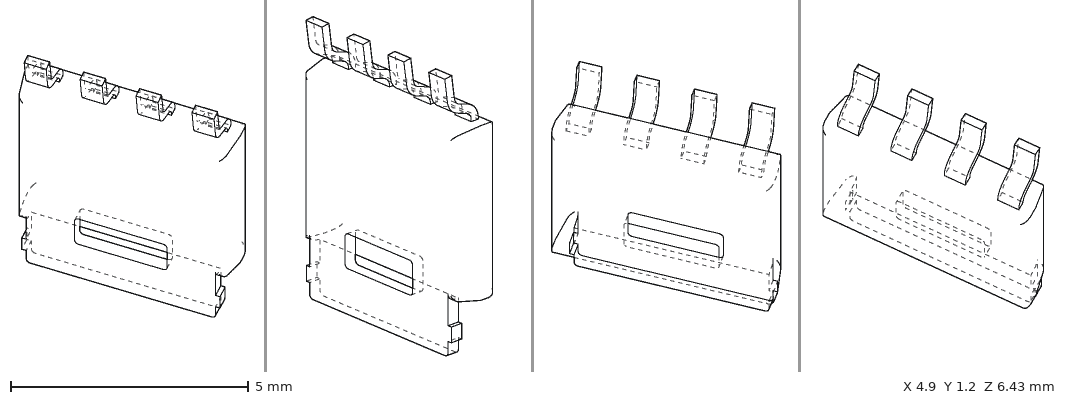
import cadquery as cq
import math


body_width = 4.9
body_height = 4.01
body_depth = 1.1
back_draft_depth = 0.21
parting_depth = 0.44
front_draft_depth = body_depth - parting_depth
draft_angle = 10.0
body_fillet = 0.15

pad_thickness = 0.3
pad_width = 4.3
pad_neck_width = 3.2
pad_overhang = 1.2
pad_top = 3.0
pad_step = 0.26
pad_radius = 0.1
tab_span = 4.5
tab_height = 0.36
tab_end_distance = 0.36
tab_bottom = tab_end_distance - pad_overhang

window_width = 2.1
window_top = 0.65
window_bottom = -0.15
window_radius = 0.1

lead_count = 4
lead_pitch = 1.27
lead_width = 0.5
lead_thickness = 0.203
lead_rise = 1.22
lead_standoff = 0.1
lead_embed = 0.2
lead_root_length = 0.04
bend_radius = 0.3
shank_angle = math.radians(17)
foot_angle = math.radians(8)


def make_body():
    parting_plane = cq.Workplane("XZ", origin=(0, front_draft_depth, body_height / 2))
    middle = parting_plane.rect(body_width, body_height).extrude(-(parting_depth - back_draft_depth))
    front = parting_plane.rect(body_width, body_height).extrude(front_draft_depth, taper=draft_angle)
    back_plane = cq.Workplane("ZX", origin=(0, body_depth - back_draft_depth, body_height / 2))
    back = back_plane.rect(body_height, body_width).extrude(back_draft_depth, taper=draft_angle)
    body = middle.union(front).union(back)
    return body.faces("<Y or >Y").edges().fillet(body_fillet)


def plate(width, bottom, top):
    """Upright plate of pad thickness behind the front face, centred on X."""
    return (
        cq.Workplane("XZ", origin=(0, 0, (bottom + top) / 2))
        .rect(width, top - bottom)
        .extrude(-pad_thickness)
    )


def make_pad():
    base = plate(pad_width, -pad_overhang, pad_step).edges("|Y and <Z").fillet(pad_radius)
    neck = plate(pad_neck_width, pad_step, pad_top).edges("|Y and >Z").fillet(pad_radius)
    pad = base.union(neck)
    half_neck = pad_neck_width / 2
    inner_corners = cq.selectors.BoxSelector(
        (-half_neck - pad_radius, 0, pad_step - pad_radius),
        (half_neck + pad_radius, pad_thickness, pad_step + pad_radius),
    )
    pad = pad.edges("|Y").edges(inner_corners).fillet(pad_radius)
    return pad.union(plate(tab_span, tab_bottom, tab_bottom + tab_height))


def make_window():
    return plate(window_width, window_bottom, window_top).edges("|Y").fillet(window_radius)


def make_lead(x_center):
    root_y = front_draft_depth + lead_thickness / 2
    root_z = body_height + lead_root_length
    tip_y = -lead_standoff + lead_thickness / 2 * math.cos(foot_angle)
    tip_z = body_height + lead_rise - lead_thickness / 2 * math.sin(foot_angle)

    first_forward = bend_radius * (1 - math.sin(shank_angle))
    first_up = bend_radius * math.cos(shank_angle)
    second_forward = bend_radius * (math.cos(foot_angle) - math.sin(shank_angle))
    second_up = bend_radius * (math.cos(shank_angle) - math.sin(foot_angle))

    forward = root_y - tip_y - first_forward - second_forward
    up = tip_z - root_z - first_up - second_up
    foot_length = (up - forward * math.tan(shank_angle)) / (
        math.cos(foot_angle) - math.sin(foot_angle) * math.tan(shank_angle)
    )
    foot_start_y = tip_y + foot_length * math.sin(foot_angle)
    foot_start_z = tip_z - foot_length * math.cos(foot_angle)

    centerline = (
        cq.Workplane("YZ", origin=(x_center, 0, 0))
        .moveTo(root_y, body_height - lead_embed)
        .lineTo(root_y, root_z)
        .tangentArcPoint((root_y - first_forward, root_z + first_up), relative=False)
        .lineTo(foot_start_y + second_forward, foot_start_z - second_up)
        .tangentArcPoint((foot_start_y, foot_start_z), relative=False)
        .lineTo(tip_y, tip_z)
    )
    section = cq.Workplane("XY", origin=(x_center, root_y, body_height - lead_embed))
    return section.rect(lead_width, lead_thickness).sweep(centerline)


result = make_body().cut(make_pad()).union(make_pad(), clean=False).cut(make_window(), clean=False)
for index in range(lead_count):
    lead_x = (index - (lead_count - 1) / 2) * lead_pitch
    result = result.union(make_lead(lead_x), clean=False)